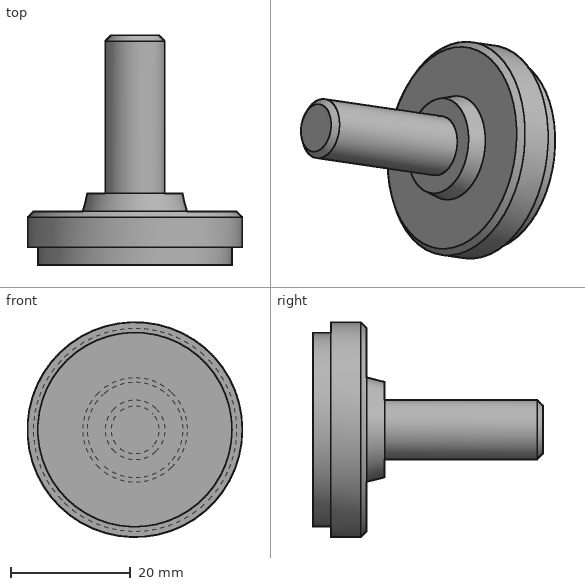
import cadquery as cq

overall_length = 38.5

pad_diameter = 32.5
pad_thickness = 3.0

flange_diameter = 36.0
flange_thickness = 6.0
flange_chamfer = 1.0

collar_base_diameter = 17.5
collar_top_diameter = 16.0
collar_height = 3.0

shank_diameter = 10.0
shank_chamfer = 1.0

flange_start = pad_thickness
collar_start = flange_start + flange_thickness
shank_start = collar_start + collar_height
shank_length = overall_length - shank_start


def disc(start, diameter, length):
    """Cylinder along +Y, beginning at the given Y position."""
    plane = cq.Workplane("XZ", origin=(0, start, 0))
    return plane.circle(diameter / 2).extrude(-length)


def make_pad():
    return disc(0, pad_diameter, pad_thickness)


def make_flange():
    flange = disc(flange_start, flange_diameter, flange_thickness)
    return flange.faces(">Y").edges().chamfer(flange_chamfer)


def make_collar():
    """Conical collar that narrows towards the shank."""
    cone = cq.Solid.makeCone(
        collar_base_diameter / 2,
        collar_top_diameter / 2,
        collar_height,
        pnt=cq.Vector(0, collar_start, 0),
        dir=cq.Vector(0, 1, 0),
    )
    return cq.Workplane(cone)


def make_shank():
    shank = disc(shank_start, shank_diameter, shank_length)
    return shank.faces(">Y").edges().chamfer(shank_chamfer)


result = make_pad().union(make_flange()).union(make_collar()).union(make_shank())